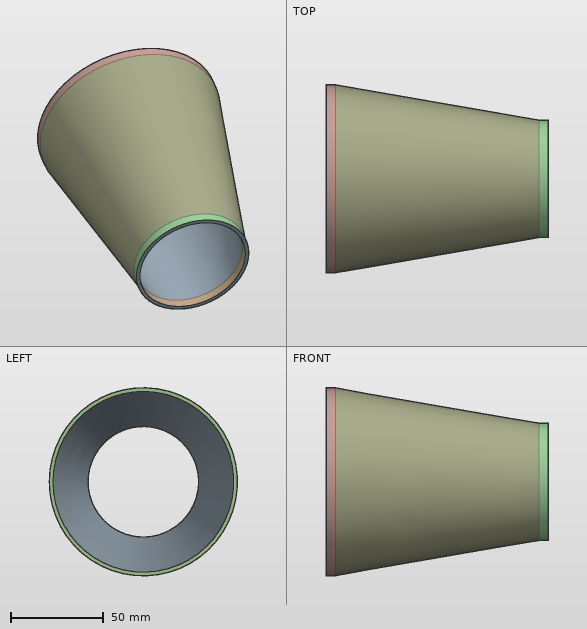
import cadquery as cq

total_length = 120.0
collar_length = 5.0
large_outer_diameter = 101.6
small_outer_diameter = 63.5
large_inner_diameter = 97.5
small_inner_diameter = 59.5


def reducer_solid(large_diameter, small_diameter):
    """Solid cone with a short straight cylinder at each end."""
    large_radius = large_diameter / 2
    small_radius = small_diameter / 2
    return (
        cq.Workplane("XY")
        .moveTo(0, 0)
        .lineTo(0, large_radius)
        .lineTo(collar_length, large_radius)
        .lineTo(total_length - collar_length, small_radius)
        .lineTo(total_length, small_radius)
        .lineTo(total_length, 0)
        .close()
        .revolve(360, (0, 0, 0), (1, 0, 0))
    )


outer_body = reducer_solid(large_outer_diameter, small_outer_diameter)
bore = reducer_solid(large_inner_diameter, small_inner_diameter)
result = outer_body.cut(bore)